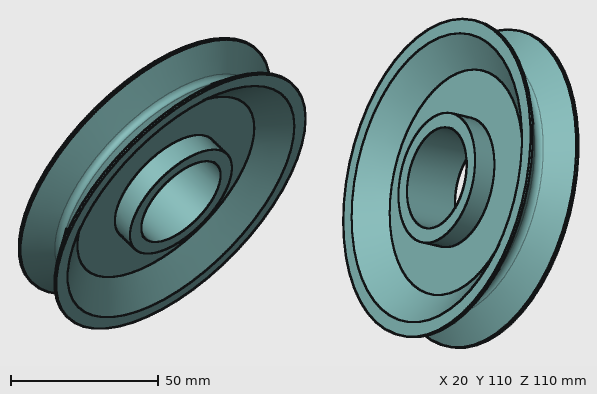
import cadquery as cq
import math

width = 20.0
outer_radius = 110 / 2
bore_radius = 35.0 / 2
hub_radius = 45.0 / 2
recess_mouth_radius = 100.0 / 2
recess_floor_radius = 78.0 / 2
web_thickness = 4.0
groove_root_radius = 90.0 / 2
root_fillet = 2.3
rim_land = 1.0

half_width = width / 2
half_web = web_thickness / 2
groove_half_width = half_width - rim_land

root_center_radius = groove_root_radius + root_fillet
flank_rise = outer_radius - root_center_radius
edge_distance = math.hypot(groove_half_width, flank_rise)
flank_angle = math.atan2(flank_rise, groove_half_width) + math.asin(root_fillet / edge_distance)
tangent_x = root_fillet * math.sin(flank_angle)
tangent_radius = root_center_radius - root_fillet * math.cos(flank_angle)

section = (
    cq.Workplane("XY")
    .moveTo(-half_width, bore_radius)
    .lineTo(half_width, bore_radius)
    .lineTo(half_width, hub_radius)
    .lineTo(half_web, hub_radius)
    .lineTo(half_web, recess_floor_radius)
    .lineTo(half_width, recess_mouth_radius)
    .lineTo(half_width, outer_radius)
    .lineTo(groove_half_width, outer_radius)
    .lineTo(tangent_x, tangent_radius)
    .threePointArc((0, groove_root_radius), (-tangent_x, tangent_radius))
    .lineTo(-groove_half_width, outer_radius)
    .lineTo(-half_width, outer_radius)
    .lineTo(-half_width, recess_mouth_radius)
    .lineTo(-half_web, recess_floor_radius)
    .lineTo(-half_web, hub_radius)
    .lineTo(-half_width, hub_radius)
    .close()
)

result = section.revolve(360, (0, 0, 0), (1, 0, 0))